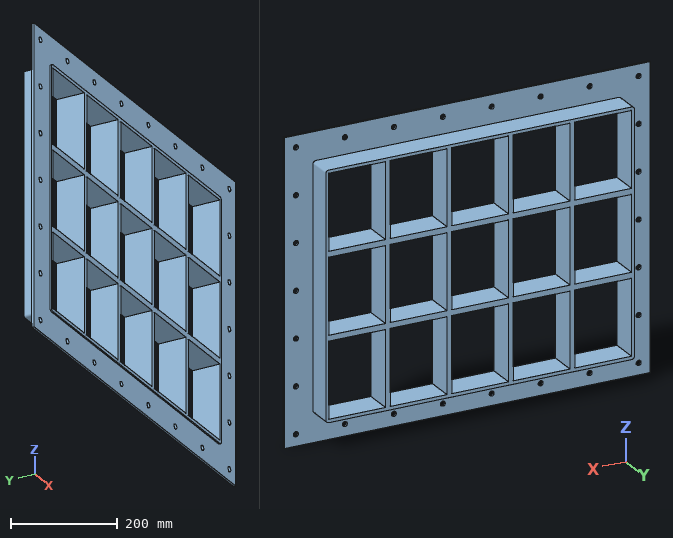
import cadquery as cq

flange_width = 774.5
flange_height = 634.0
flange_thickness = 5.0

columns = 5
rows = 3
window_width = 120.0
window_height = 159.0
upright_thickness = 10.0
shelf_thickness = 12.5
column_pitch = window_width + upright_thickness
row_pitch = window_height + shelf_thickness

frame_depth = 60.0
side_wall = 6.0
end_wall = 7.0
front_lip = 3.0
corner_radius = 6.0
frame_width = columns * column_pitch - upright_thickness + 2 * side_wall
frame_height = rows * row_pitch - shelf_thickness + 2 * end_wall

hole_diameter = 10.0
hole_edge_distance = 25.0
holes_across = 8
holes_up = 7


def slab(width, height, front, back):
    """Rectangular block centred on the Y axis, from y = front to y = back."""
    return cq.Workplane("XY").box(width, back - front, height).translate((0, (front + back) / 2, 0))


def along_y(points):
    """Workplane facing -Y at the back of the frame, with a location at each (x, z) point."""
    return cq.Workplane("XZ", origin=(0, frame_depth, 0)).pushPoints(points)


def hole_points():
    """Evenly spaced bolt holes along all four sides, with one in each corner."""
    span_x = flange_width - 2 * hole_edge_distance
    span_z = flange_height - 2 * hole_edge_distance
    points = []
    for i in range(holes_across):
        for j in range(holes_up):
            on_side = i in (0, holes_across - 1)
            on_end = j in (0, holes_up - 1)
            if on_side or on_end:
                x = span_x * (i / (holes_across - 1) - 0.5)
                z = span_z * (j / (holes_up - 1) - 0.5)
                points.append((x, z))
    return points


def window_points():
    """Centres of the windows in the grid."""
    return [
        (column_pitch * (i - (columns - 1) / 2), row_pitch * (j - (rows - 1) / 2))
        for i in range(columns)
        for j in range(rows)
    ]


flange = slab(flange_width, flange_height, front_lip, front_lip + flange_thickness)
holes = along_y(hole_points()).circle(hole_diameter / 2).extrude(frame_depth)

frame = slab(frame_width, frame_height, 0, frame_depth).edges("|Y").fillet(corner_radius)
windows = along_y(window_points()).rect(window_width, window_height).extrude(frame_depth)

result = flange.cut(holes).union(frame).cut(windows)